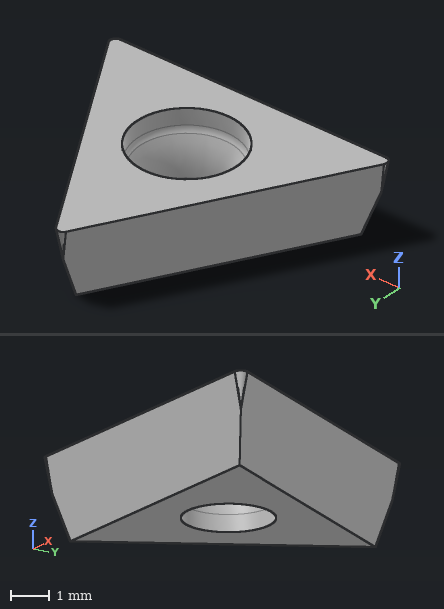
import cadquery as cq
import math

length = 9.33
thickness = 2.38
nose_radius = 0.2
clearance_angle = 11.0

rim_diameter = 3.4
seat_diameter = 3.33
seat_depth = 0.51
fillet_end_diameter = 3.17
fillet_end_depth = 0.72
bore_diameter = 2.5
bore_depth = 1.89

clearance_slope = math.tan(math.radians(clearance_angle))
nose_depth = nose_radius / clearance_slope
nose_side = length - 2 * nose_radius
nose_inradius = nose_side / (2 * math.sqrt(3))
top_inradius = nose_inradius + nose_radius
bottom_inradius = top_inradius - thickness * clearance_slope


def triangle_points(inradius):
    """Corners of an equilateral triangle with one side facing -Y."""
    half_side = inradius * math.sqrt(3)
    return [(-half_side, -inradius), (half_side, -inradius), (0, 2 * inradius)]


def make_sharp_body():
    """Triangular frustum with sharp corners over the full thickness."""
    return (
        cq.Workplane("XY", origin=(0, 0, -thickness))
        .polyline(triangle_points(bottom_inradius)).close()
        .workplane(offset=thickness)
        .polyline(triangle_points(top_inradius)).close()
        .loft(ruled=True)
    )


def round_noses(body):
    """Replace each sharp upper corner, out from the tangent lines, with an inverted cone sector."""
    center_x, center_y = triangle_points(nose_inradius)[0]
    tangent_offset = (nose_radius * math.cos(math.pi / 6), nose_radius * math.sin(math.pi / 6))
    corner = (
        cq.Workplane("XY")
        .polyline([
            (center_x, center_y),
            (center_x - tangent_offset[0], center_y + tangent_offset[1]),
            triangle_points(top_inradius)[0],
            (center_x, center_y - nose_radius),
        ])
        .close()
        .extrude(-nose_depth)
    )
    sector = cq.Solid.makeCone(0, nose_radius, nose_depth, angleDegrees=120)
    cone = (
        cq.Workplane(sector)
        .rotate((0, 0, 0), (0, 0, 1), 150)
        .translate((center_x, center_y, -nose_depth))
    )
    for angle in (0, 120, 240):
        body = body.cut(corner.rotate((0, 0, 0), (0, 0, 1), angle))
        body = body.union(cone.rotate((0, 0, 0), (0, 0, 1), angle))
    return body.clean()


def make_screw_hole():
    """Slightly tapered mouth, concave fillet, then a convex seat blending into the bore."""
    rim = rim_diameter / 2
    seat = seat_diameter / 2
    fillet_end = fillet_end_diameter / 2
    bore = bore_diameter / 2
    seat_width = fillet_end - bore
    seat_height = bore_depth - fillet_end_depth
    seat_radius = (seat_width**2 + seat_height**2) / (2 * seat_width)
    half_turn = math.atan2(seat_width, seat_height)
    seat_middle = (
        bore + seat_radius * (1 - math.cos(half_turn)),
        -bore_depth + seat_radius * math.sin(half_turn),
    )
    return (
        cq.Workplane("XZ")
        .lineTo(rim, 0)
        .lineTo(seat, -seat_depth)
        .tangentArcPoint((fillet_end, -fillet_end_depth), relative=False)
        .threePointArc(seat_middle, (bore, -bore_depth))
        .lineTo(bore, -thickness)
        .lineTo(0, -thickness)
        .close()
        .revolve(360, (0, 0, 0), (0, 1, 0))
    )


insert_body = round_noses(make_sharp_body())
result = insert_body.cut(make_screw_hole())